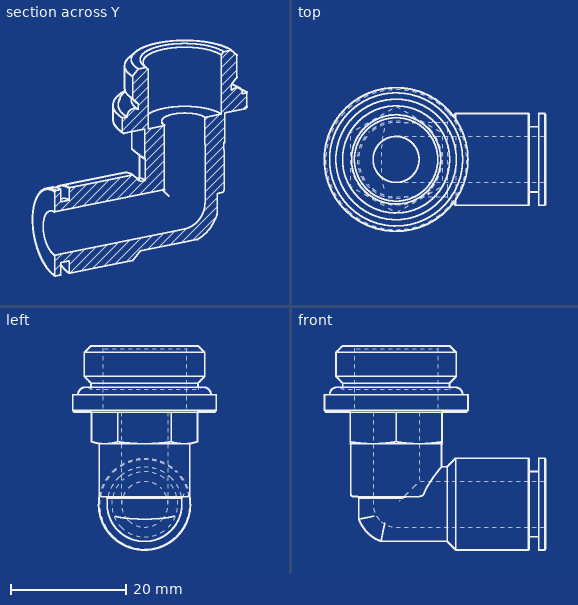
import cadquery as cq
import math


TOP_Z = 27.5
THREAD_BOTTOM_Z = 22.2
RELIEF_TOP_Z = 21.0
FLANGE_TOP_Z = 19.0
FLANGE_BOTTOM_Z = 16.0
HEX_BOTTOM_Z = 10.5
BARREL_BOTTOM_Z = 1.3

THREAD_D = 20.95
RELIEF_D = 18.63
FLANGE_D = 25.0
FLANGE_CHAMFER = 0.3
BARREL_D = 15.8
BARREL_EDGE_RADIUS = 0.5

RING_SECTION_D = 2.66
RING_OUTER_D = 23.15

HEX_FLATS = 16.0
HEX_CHAMFER_ANGLE = 15.0

ELBOW_D = 13.0
ROOT_RADIUS = 0.25
CORNER_OFFSET = 0.39

SOCKET_D = 16.0
SOCKET_START_X = 8.85
SOCKET_END_X = 23.1
NECK_D = 11.4
COLLAR_START_X = 24.75
END_X = 26.0
SOCKET_EDGE = 0.1
COLLAR_EDGE = 0.2

PASSAGE_D = 8.0
ENTRY_D = 14.5
ENTRY_FLOOR_Z = FLANGE_BOTTOM_Z
ENTRY_CHAMFER = 0.5


def turned_about_z(radius_height_points):
    return cq.Workplane("XZ").polyline(radius_height_points).close().revolve(360, (0, 0, 0), (0, 1, 0))


def turned_about_x(x_radius_points):
    return cq.Workplane("XZ").polyline(x_radius_points).close().revolve(360, (0, 0, 0), (1, 0, 0))


def x_cylinder(diameter, start_x, end_x):
    return cq.Workplane("YZ").workplane(offset=start_x).circle(diameter / 2).extrude(end_x - start_x)


def z_cylinder(diameter, start_z, end_z):
    return cq.Workplane("XY").workplane(offset=start_z).circle(diameter / 2).extrude(end_z - start_z)


def threaded_end():
    thread_r = THREAD_D / 2
    relief_r = RELIEF_D / 2
    flange_r = FLANGE_D / 2
    return turned_about_z([
        (0, TOP_Z),
        (relief_r, TOP_Z),
        (thread_r, TOP_Z - (thread_r - relief_r)),
        (thread_r, THREAD_BOTTOM_Z),
        (relief_r, RELIEF_TOP_Z),
        (relief_r, FLANGE_TOP_Z),
        (flange_r, FLANGE_TOP_Z),
        (flange_r, FLANGE_BOTTOM_Z + FLANGE_CHAMFER),
        (flange_r - FLANGE_CHAMFER, FLANGE_BOTTOM_Z),
        (0, FLANGE_BOTTOM_Z),
    ])


def sealing_ring():
    ring_radius = (RING_OUTER_D - RING_SECTION_D) / 2
    ring = cq.Workplane("XY").add(cq.Solid.makeTorus(ring_radius, RING_SECTION_D / 2))
    return ring.translate((0, 0, FLANGE_TOP_Z)).intersect(z_cylinder(FLANGE_D, FLANGE_TOP_Z, RELIEF_TOP_Z))


def hexagon():
    flat_r = HEX_FLATS / 2
    half_side_angle = 30
    corner_r = flat_r / math.cos(math.radians(half_side_angle))
    prism = (
        cq.Workplane("XY")
        .workplane(offset=HEX_BOTTOM_Z)
        .polygon(6, 2 * corner_r)
        .extrude(FLANGE_BOTTOM_Z - HEX_BOTTOM_Z)
        .rotate((0, 0, 0), (0, 0, 1), half_side_angle)
    )
    cone_rise = (corner_r - flat_r) * math.tan(math.radians(HEX_CHAMFER_ANGLE))
    corner_envelope = turned_about_z([
        (0, HEX_BOTTOM_Z),
        (flat_r, HEX_BOTTOM_Z),
        (corner_r, HEX_BOTTOM_Z + cone_rise),
        (corner_r, FLANGE_BOTTOM_Z),
        (0, FLANGE_BOTTOM_Z),
    ])
    return prism.intersect(corner_envelope)


def barrel():
    return z_cylinder(BARREL_D, BARREL_BOTTOM_Z, HEX_BOTTOM_Z).faces("<Z").edges().fillet(BARREL_EDGE_RADIUS)


def elbow():
    elbow_r = ELBOW_D / 2
    corner = z_cylinder(ELBOW_D, -elbow_r, 0).intersect(x_cylinder(ELBOW_D, -elbow_r, 0))
    body = (
        z_cylinder(ELBOW_D, 0, HEX_BOTTOM_Z)
        .union(x_cylinder(ELBOW_D, 0, SOCKET_START_X))
        .union(corner)
    )
    sphere = cq.Workplane("XY").sphere(elbow_r).translate((-CORNER_OFFSET, 0, -CORNER_OFFSET))
    outside_sphere = (
        cq.Workplane("XY")
        .box(ELBOW_D, 2 * ELBOW_D, ELBOW_D)
        .translate((-elbow_r - CORNER_OFFSET, 0, -elbow_r - CORNER_OFFSET))
        .cut(sphere)
    )
    return body.cut(outside_sphere)


def root_fillet():
    elbow_r = ELBOW_D / 2
    outer_r = elbow_r + ROOT_RADIUS
    lower_z = BARREL_BOTTOM_Z - ROOT_RADIUS
    diagonal = ROOT_RADIUS * math.sqrt(0.5)
    return (
        cq.Workplane("XZ")
        .moveTo(0, BARREL_BOTTOM_Z)
        .lineTo(outer_r, BARREL_BOTTOM_Z)
        .threePointArc((outer_r - diagonal, lower_z + diagonal), (elbow_r, lower_z))
        .lineTo(0, lower_z)
        .close()
        .revolve(360, (0, 0, 0), (0, 1, 0))
    )


def tube_outlet():
    socket_r = SOCKET_D / 2
    elbow_r = ELBOW_D / 2
    neck_r = NECK_D / 2
    return turned_about_x([
        (SOCKET_START_X, 0),
        (SOCKET_START_X, elbow_r),
        (SOCKET_START_X + socket_r - elbow_r, socket_r),
        (SOCKET_END_X - SOCKET_EDGE, socket_r),
        (SOCKET_END_X, socket_r - SOCKET_EDGE),
        (SOCKET_END_X, neck_r),
        (COLLAR_START_X, neck_r),
        (COLLAR_START_X, socket_r),
        (END_X - COLLAR_EDGE, socket_r),
        (END_X, socket_r - COLLAR_EDGE),
        (END_X, 0),
    ])


def passages():
    entry_r = ENTRY_D / 2
    entry = turned_about_z([
        (0, ENTRY_FLOOR_Z),
        (entry_r, ENTRY_FLOOR_Z),
        (entry_r, TOP_Z - ENTRY_CHAMFER),
        (entry_r + ENTRY_CHAMFER, TOP_Z),
        (0, TOP_Z),
    ])
    return (
        z_cylinder(PASSAGE_D, 0, ENTRY_FLOOR_Z)
        .union(x_cylinder(PASSAGE_D, 0, END_X))
        .union(cq.Workplane("XY").sphere(PASSAGE_D / 2))
        .union(entry)
    )


result = (
    threaded_end()
    .union(sealing_ring())
    .union(hexagon())
    .union(barrel())
    .union(elbow())
    .union(root_fillet())
    .union(tube_outlet())
    .cut(passages())
)